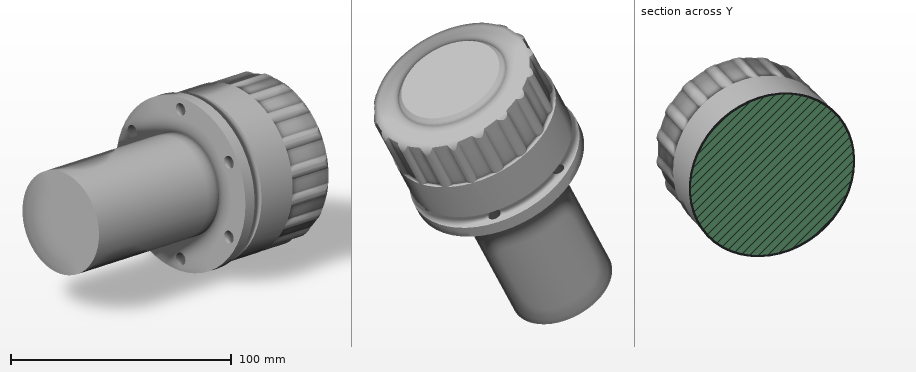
import cadquery as cq
import math

flange_front = 77.0
flange_thickness = 5.9
neck_length = 5.8
collar_length = 20.0
grip_length = 25.9
total_length = 137.0

flange_back = flange_front + flange_thickness
collar_front = flange_back + neck_length
grip_front = collar_front + collar_length
grip_back = grip_front + grip_length

shaft_radius = 49.0 / 2
flange_radius = 83.0 / 2
neck_radius = 52.7 / 2
collar_radius = 80.4 / 2
flare_width = 1.1
flare_length = 1.9
grip_edge_radius = 5.0

hole_count = 6
hole_diameter = 6.0
hole_circle_radius = 35.8

rib_count = 18
rib_radius = 3.7
rib_center_radius = 36.6
valley_radius = 38.6
half_gap = 0.5


def cylinder(radius, start, end):
    """Cylinder on the Y axis between two positions."""
    return cq.Workplane("XZ", origin=(0, start, 0)).circle(radius).extrude(start - end)


def cone(start_radius, end_radius, start, end):
    """Truncated cone on the Y axis between two positions."""
    outline = cq.Workplane("XY").polyline([(0, start), (start_radius, start), (end_radius, end), (0, end)])
    return outline.close().revolve(360, (0, 0, 0), (0, 1, 0))


def make_stem():
    """Shaft, drilled flange, and neck with its flare."""
    shaft = cylinder(shaft_radius, 0, flange_front)
    flange = cylinder(flange_radius, flange_front, flange_back)
    holes = (
        cq.Workplane("XZ", origin=(0, flange_front, 0))
        .polarArray(hole_circle_radius, 90, 360, hole_count)
        .circle(hole_diameter / 2)
        .extrude(-flange_thickness)
    )
    neck = cylinder(neck_radius, flange_back, collar_front)
    flare = cone(neck_radius + flare_width, neck_radius, flange_back, flange_back + flare_length)
    return shaft.union(flange.cut(holes)).union(neck).union(flare)


def make_ribbed_core():
    """Ribbed cylinder with a thin centre slice left out and its halves closed up."""
    core = cylinder(valley_radius, grip_front, grip_back)
    for index in range(rib_count):
        angle = math.radians((index + 0.5) * 360 / rib_count)
        x = rib_center_radius * math.cos(angle)
        z = rib_center_radius * math.sin(angle)
        core = core.union(cylinder(rib_radius, grip_front, grip_back).translate((x, 0, z)))

    block_size = 2 * total_length
    right_block = cq.Workplane("XY").box(block_size, block_size, block_size)
    right_block = right_block.translate((block_size / 2 + half_gap, 0, 0))
    left_block = right_block.mirror("YZ")
    right_half = core.intersect(right_block)
    left_half = core.intersect(left_block).translate((2 * half_gap, 0, 0))
    return right_half.union(left_half)


def make_cap():
    """Collar and ribbed grip, trimmed to one rounded envelope, with a conical end boss."""
    collar = cylinder(collar_radius, collar_front, grip_front)
    envelope = cylinder(collar_radius, grip_front, grip_back).faces(">Y").edges().fillet(grip_edge_radius)
    grip = make_ribbed_core().intersect(envelope)
    boss_height = total_length - grip_back
    boss = cone(neck_radius, neck_radius - boss_height, grip_back, total_length)
    return collar.union(grip).union(boss)


result = make_stem().union(make_cap())